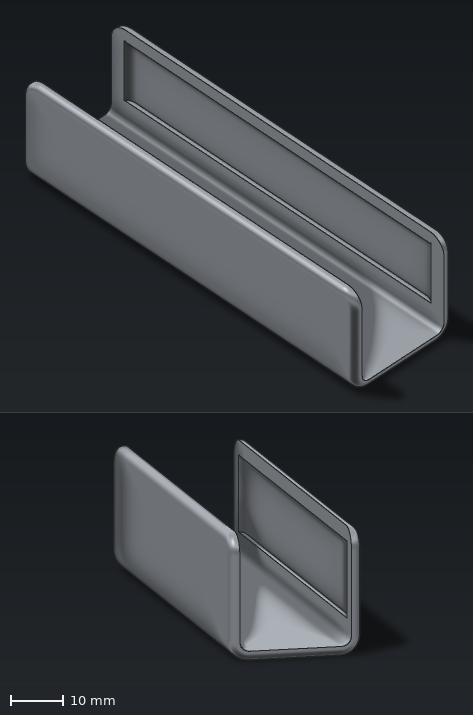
import cadquery as cq

length = 90.6
width = 26.1
height = 24.8
wall = 2.0
bend_outer_radius = 2 * wall
bend_inner_radius = bend_outer_radius - wall
corner_radius = 4.0
edge_radius = 1.5

recess_depth = wall / 2
recess_end_radius = 3.0
recess_end_margin = 3.5
recess_top_margin = 3.0
recess_height = 15.0
recess_length = length - 2 * recess_end_margin

inner_width = width - 2 * wall


def rounded_bar(bar_width, bottom, bend_radius):
    """Full-length bar up to the channel top, with rounded lower long edges."""
    bar_height = height - bottom
    bar = cq.Workplane("XY").box(length, bar_width, bar_height, centered=(True, True, False))
    return bar.edges("|X and <Z").fillet(bend_radius).translate((0, 0, bottom))


def channel():
    """U-shaped channel with rounded top corners and softened outer rim."""
    outside = rounded_bar(width, 0, bend_outer_radius)
    inside = rounded_bar(inner_width, wall, bend_inner_radius)
    body = outside.cut(inside)
    body = body.edges("|Y and >Z").fillet(corner_radius)
    return body.edges("|Y and <Z").fillet(edge_radius)


def recess_cutter():
    """One bar that cuts both side walls; its vertical edges round the recess ends."""
    cutter_width = inner_width + 2 * recess_depth
    bottom = height - recess_top_margin - recess_height
    cutter = cq.Workplane("XY").box(
        recess_length + 2 * end_overrun(), cutter_width, recess_height, centered=(True, True, False)
    )
    return cutter.edges("|Z").fillet(recess_end_radius).translate((0, 0, bottom))


def end_overrun():
    """Extra cutter length so that the rounded ends meet the wall face at the recess margin."""
    rise = recess_end_radius - recess_depth
    return recess_end_radius - (recess_end_radius**2 - rise**2) ** 0.5


result = channel().cut(recess_cutter())